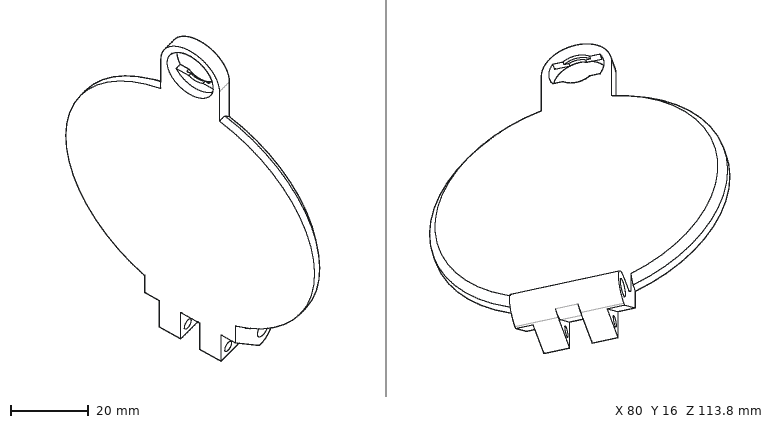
import cadquery as cq
import math

plate_radius = 40.0
plate_thickness = 4.3
plate_chamfer = 2.0
plate_center_z = 54.0

total_height = 113.8
lug_radius = 9.5
lug_center_z = total_height - lug_radius
bore_radius = 7.4
bore_depth = 2.5
slot_height = 7.6
slot_middle_radius = 4.4
back_recess_radius = 5.2
back_recess_depth = 0.9

hinge_width = 29.2
hinge_depth = 16.0
hinge_height = 10.2
barrel_radius = hinge_height / 2
barrel_center_y = hinge_depth - barrel_radius
hinge_corner_leg = 1.8
pivot_radius = 2.4
pivot_y = 11.8
pin_radius = 1.5
pin_offset = 3.1

knuckle_width = 6.9
knuckle_gap = 6.0

underside_radius = (pivot_y + barrel_radius - hinge_height) / math.sqrt(2)
underside_start_y = pivot_y - underside_radius / math.sqrt(2)


def cylinder_along_y(radius, center_z, depth):
    return cq.Workplane("XZ").center(0, center_z).circle(radius).extrude(-depth)


def cylinder_along_x(radius, y, z, length=hinge_width):
    return cq.Workplane("YZ").center(y, z).circle(radius).extrude(length / 2, both=True)


def make_plate():
    disc = cylinder_along_y(plate_radius, plate_center_z, plate_thickness)
    return disc.faces(">Y").chamfer(plate_chamfer)


def make_lug():
    return (
        cq.Workplane("XZ")
        .moveTo(-lug_radius, plate_center_z)
        .lineTo(-lug_radius, lug_center_z)
        .threePointArc((0, total_height), (lug_radius, lug_center_z))
        .lineTo(lug_radius, plate_center_z)
        .close()
        .extrude(-plate_thickness)
    )


def make_keyhole():
    bore = cylinder_along_y(bore_radius, lug_center_z, bore_depth)
    slot = (
        cq.Workplane("XZ")
        .center(0, lug_center_z)
        .rect(2 * bore_radius, slot_height)
        .extrude(-plate_thickness)
        .intersect(cylinder_along_y(bore_radius, lug_center_z, plate_thickness))
    )
    middle = cylinder_along_y(slot_middle_radius, lug_center_z, plate_thickness)
    recess = cylinder_along_y(back_recess_radius, lug_center_z, back_recess_depth)
    recess = recess.translate((0, plate_thickness - back_recess_depth, 0))
    return bore.union(slot).union(middle).union(recess)


def make_hinge():
    return (
        cq.Workplane("YZ")
        .moveTo(0, 0)
        .lineTo(barrel_center_y, 0)
        .threePointArc((hinge_depth, barrel_radius), (barrel_center_y, hinge_height))
        .lineTo(plate_thickness + hinge_corner_leg, hinge_height)
        .lineTo(plate_thickness, hinge_height + hinge_corner_leg)
        .lineTo(plate_thickness, plate_center_z)
        .lineTo(0, plate_center_z)
        .close()
        .extrude(hinge_width / 2, both=True)
    )


def make_notch(x_start, x_end):
    return (
        cq.Workplane("YZ", origin=(x_start, 0, 0))
        .polyline([(0, 0), (hinge_height, 0), (0, hinge_height)])
        .close()
        .extrude(x_end - x_start)
    )


def make_underside_relief():
    block = (
        cq.Workplane("YZ")
        .moveTo(underside_start_y, 0)
        .lineTo(hinge_depth, 0)
        .lineTo(hinge_depth, barrel_radius)
        .lineTo(pivot_y, barrel_radius)
        .lineTo(underside_start_y, hinge_height - underside_start_y)
        .close()
        .extrude(knuckle_gap / 2, both=True)
    )
    return block.cut(cylinder_along_x(underside_radius, pivot_y, barrel_radius))


result = make_plate().union(make_lug()).union(make_hinge()).cut(make_keyhole())

knuckle_inner = knuckle_gap / 2
knuckle_outer = knuckle_inner + knuckle_width
hinge_side = hinge_width / 2
for x_start, x_end in (
    (-hinge_side, -knuckle_outer),
    (-knuckle_inner, knuckle_inner),
    (knuckle_outer, hinge_side),
):
    result = result.cut(make_notch(x_start, x_end))

result = result.cut(cylinder_along_x(pivot_radius, pivot_y, barrel_radius))
result = result.cut(cylinder_along_x(pin_radius, pin_offset, pin_offset))
result = result.cut(make_underside_relief())